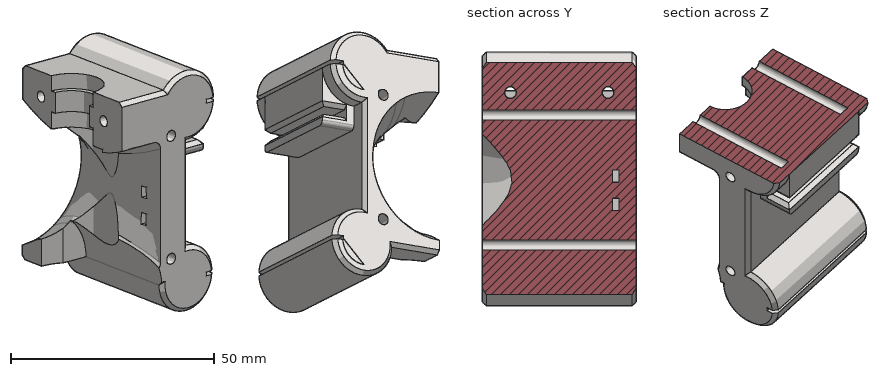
import math

import cadquery as cq

WIDTH = 38.0
END_CHAMFER = 1.05

BARREL_Y = 21.5
BARREL_Z = 22.5
UPPER_BARREL_R = 9.0
LOWER_BARREL_R = 8.5
BEARING_R = 6.0
BARREL_SLOT = 1.0
SLOT_OVERLAP = 0.2
MARK_DEPTH = 0.1

BODY_TOP_Z = 28.0
BODY_BOTTOM_Z = -BARREL_Z
BODY_BACK_Y = BARREL_Y
UPPER_FRONT_Y = 0.2
FRONT_EXCESS = 2 * END_CHAMFER

INLET_R = 19.0
CORNER_START = 50.0
CORNER_END = 59.0
THROAT_X = 0.7
THROAT_Z = -0.35
THROAT_BACK = 11.66
THROAT_TOP = 12.8
THROAT_CORNER_R = 12.8
OUTLET_Z = -1.45
OUTLET_BACK = 12.6
OUTLET_TOP = 16.9
OUTLET_CORNER_R = 2.1
STRAIGHT_TOLERANCE = 1e-6

COLLAR_R = 8.0
GROOVE_R = 6.5
GROOVE_TOP_Z = 24.05
GROOVE_BOTTOM_Z = 18.6
HEATSINK_R = 11.5
HEATSINK_TOP_Z = 14.0

OPENING_LEFT_X = -10.0
OPENING_TOP_Z = -11.95
OPENING_ARC_R = 14.0
OPENING_BACK_Y = BARREL_Y - LOWER_BARREL_R

SCREW_D = 2.8
SIDE_HOLE_Y = 16.0
SIDE_HOLE_Z = 16.0
FRONT_HOLE_X = 12.0
FRONT_HOLE_Z = 21.5

POCKET_X = 13.9
POCKET_WIDTH = 1.5
POCKET_HEIGHT = 2.95
POCKET_CENTRES_Z = (0.95, -6.0)
POCKET_END_Y = 17.0

CLIP_WIDTH = 28.2
CLIP_BACK_Y = BARREL_Y + UPPER_BARREL_R
CLIP_ROOT = 1.0
CLIP_BOTTOM_Z = 7.45
CLIP_EDGE_R = 1.2
BELT_SLOT_TOP_Z = 12.5
BELT_SLOT_BOTTOM_Z = 10.5
BELT_SLOT_FLOOR_Y = 23.6
BELT_LEAD_IN = 1.05


def box(x0, x1, y0, y1, z0, z1):
    """Axis-aligned box between two opposite corners."""
    return cq.Workplane("XY").box(x1 - x0, y1 - y0, z1 - z0, centered=False).translate((x0, y0, z0))


def yz_plane(x):
    """Sketch plane at x, with local axes Y and Z."""
    return cq.Workplane("YZ", origin=(x, 0, 0))


def make_body():
    """Block and barrels as one profile, chamfered round both ends except at the front."""
    lower_y = BARREL_Y - LOWER_BARREL_R
    rise = BODY_TOP_Z - BARREL_Z
    upper_y = BARREL_Y - math.sqrt(UPPER_BARREL_R**2 - rise**2)
    half_diagonal = LOWER_BARREL_R * math.sqrt(0.5)
    half = WIDTH / 2
    profile = (
        yz_plane(-half)
        .moveTo(-FRONT_EXCESS, BODY_BOTTOM_Z)
        .lineTo(lower_y, BODY_BOTTOM_Z)
        .threePointArc(
            (BARREL_Y + half_diagonal, -BARREL_Z - half_diagonal),
            (BODY_BACK_Y, -BARREL_Z + LOWER_BARREL_R),
        )
        .lineTo(BODY_BACK_Y, BARREL_Z - UPPER_BARREL_R)
        .threePointArc((BARREL_Y + UPPER_BARREL_R, BARREL_Z), (upper_y, BODY_TOP_Z))
        .lineTo(-FRONT_EXCESS, BODY_TOP_Z)
        .close()
    )
    body = profile.extrude(WIDTH).faces("<X or >X").chamfer(END_CHAMFER)
    body = body.cut(box(-half, half, -FRONT_EXCESS, 0, BODY_BOTTOM_Z, BODY_TOP_Z))
    return body.cut(box(-half, half, 0, UPPER_FRONT_Y, 0, BODY_TOP_Z))


def make_belt_clip():
    """Block under the upper barrel with a belt slot open to the back and both ends."""
    half = CLIP_WIDTH / 2
    clip = box(-half, half, BODY_BACK_Y - CLIP_ROOT, CLIP_BACK_Y, CLIP_BOTTOM_Z, BARREL_Z - BARREL_SLOT / 2)
    clip = clip.edges("|Y and <Z").fillet(CLIP_EDGE_R)
    top, bottom, lead = BELT_SLOT_TOP_Z, BELT_SLOT_BOTTOM_Z, BELT_LEAD_IN
    clip = clip.cut(box(-half, half, BELT_SLOT_FLOOR_Y, CLIP_BACK_Y, bottom, top))
    back_lead = (
        yz_plane(-half)
        .polyline([
            (CLIP_BACK_Y - lead, bottom),
            (CLIP_BACK_Y, bottom - lead),
            (CLIP_BACK_Y, top + lead),
            (CLIP_BACK_Y - lead, top),
        ])
        .close()
        .extrude(CLIP_WIDTH)
    )
    clip = clip.cut(back_lead)
    for side in (-1, 1):
        end_lead = (
            cq.Workplane("XZ", origin=(0, CLIP_BACK_Y, 0))
            .polyline([
                (side * (half - lead), bottom),
                (side * half, bottom - lead),
                (side * half, top + lead),
                (side * (half - lead), top),
            ])
            .close()
            .extrude(CLIP_BACK_Y - BELT_SLOT_FLOOR_Y)
        )
        clip = clip.cut(end_lead)
    return clip


def polar(radius, degrees):
    """Point at an angle measured from the first axis."""
    return radius * math.cos(math.radians(degrees)), radius * math.sin(math.radians(degrees))


def duct_wire(x, centre_z, back, top, corner_start, corner_middle, corner_end):
    """Closed duct outline: four sides joined by four corner arcs, symmetric about its own centre lines."""
    def at(point, y_sign, z_sign):
        return cq.Vector(x, y_sign * point[0], centre_z + z_sign * point[1])

    edges = []
    for y_sign, z_sign in ((1, 1), (-1, -1)):
        back_start = at(corner_start, y_sign, -z_sign)
        back_end = at(corner_start, y_sign, z_sign)
        back_arc = [back_start, at((back, 0), y_sign, z_sign), back_end]
        corner = [at(p, y_sign, z_sign) for p in (corner_start, corner_middle, corner_end)]
        top_start = at(corner_end, y_sign, z_sign)
        top_end = at(corner_end, -y_sign, z_sign)
        top_arc = [top_start, at((0, top), y_sign, z_sign), top_end]
        next_corner = [at(p, -y_sign, z_sign) for p in (corner_end, corner_middle, corner_start)]
        for first, middle, last in (back_arc, corner, top_arc, next_corner):
            straight = (middle - first).cross(last - first).Length < STRAIGHT_TOLERANCE
            if straight:
                edges.append(cq.Edge.makeLine(first, last))
            else:
                edges.append(cq.Edge.makeThreePointArc(first, middle, last))
    return cq.Wire.assembleEdges(edges)


def make_duct():
    """Smooth loft from the round inlet through the throat to the rectangular outlet."""
    corner_angles = (CORNER_START, (CORNER_START + CORNER_END) / 2, CORNER_END)
    inlet = duct_wire(-WIDTH / 2, 0, INLET_R, INLET_R, *[polar(INLET_R, a) for a in corner_angles])
    throat = duct_wire(
        THROAT_X, THROAT_Z, THROAT_BACK, THROAT_TOP, *[polar(THROAT_CORNER_R, a) for a in corner_angles]
    )
    centre_y = OUTLET_BACK - OUTLET_CORNER_R
    centre_z = OUTLET_TOP - OUTLET_CORNER_R
    diagonal = OUTLET_CORNER_R * math.sqrt(0.5)
    outlet = duct_wire(
        WIDTH / 2, OUTLET_Z, OUTLET_BACK, OUTLET_TOP,
        (OUTLET_BACK, centre_z), (centre_y + diagonal, centre_z + diagonal), (centre_y, OUTLET_TOP),
    )
    return cq.Workplane(cq.Solid.makeLoft([inlet, throat, outlet], False))


def z_bore(radius, z0, z1):
    """Vertical cylinder on the Z axis."""
    return cq.Workplane("XY", origin=(0, 0, z0)).circle(radius).extrude(z1 - z0)


def make_hot_end_bore():
    """Collar, groove, collar and heat sink clearance, from the top down."""
    bore = z_bore(COLLAR_R, GROOVE_TOP_Z, BODY_TOP_Z)
    bore = bore.union(z_bore(GROOVE_R, GROOVE_BOTTOM_Z, GROOVE_TOP_Z))
    bore = bore.union(z_bore(COLLAR_R, HEATSINK_TOP_Z, GROOVE_BOTTOM_Z))
    return bore.union(z_bore(HEATSINK_R, BODY_BOTTOM_Z, HEATSINK_TOP_Z))


def make_jaw_opening():
    """Opening right of the remaining jaw, with a concave rear wall meeting the lower barrel."""
    height = OPENING_TOP_Z - BODY_BOTTOM_Z
    centre_y = OPENING_BACK_Y - OPENING_ARC_R
    middle_y, middle_rise = polar(OPENING_ARC_R, math.degrees(math.asin(height / OPENING_ARC_R)) / 2)
    top_y = centre_y + math.sqrt(OPENING_ARC_R**2 - height**2)
    return (
        yz_plane(OPENING_LEFT_X)
        .moveTo(0, BODY_BOTTOM_Z)
        .lineTo(OPENING_BACK_Y, BODY_BOTTOM_Z)
        .threePointArc(
            (centre_y + middle_y, BODY_BOTTOM_Z + middle_rise),
            (top_y, OPENING_TOP_Z),
        )
        .lineTo(0, OPENING_TOP_Z)
        .close()
        .extrude(WIDTH / 2 - OPENING_LEFT_X)
    )


def make_barrel_slot(z):
    """Slit through the rear wall of a barrel."""
    half = WIDTH / 2
    start_y = BARREL_Y + BEARING_R - SLOT_OVERLAP
    return box(-half, half, start_y, CLIP_BACK_Y, z - BARREL_SLOT / 2, z + BARREL_SLOT / 2)


def make_barrel_mark(z):
    """Shallow recess in the -X end, between a quarter of the bearing circle and its chord."""
    diagonal = BEARING_R * math.sqrt(0.5)
    return (
        yz_plane(-WIDTH / 2)
        .moveTo(BARREL_Y + BEARING_R, z)
        .threePointArc((BARREL_Y + diagonal, z - diagonal), (BARREL_Y, z - BEARING_R))
        .close()
        .extrude(MARK_DEPTH)
    )


def make_side_hole(z):
    """Screw hole through the whole width."""
    return yz_plane(-WIDTH / 2).center(SIDE_HOLE_Y, z).circle(SCREW_D / 2).extrude(WIDTH)


def make_front_hole(x):
    """Screw hole from the front into the slit of the upper barrel."""
    depth = BARREL_Y + BEARING_R
    return cq.Workplane("XZ").center(x, FRONT_HOLE_Z).circle(SCREW_D / 2).extrude(-depth)


def make_pocket(z):
    """Blind pocket starting inside the duct."""
    x0 = POCKET_X - POCKET_WIDTH / 2
    z0 = z - POCKET_HEIGHT / 2
    return box(x0, x0 + POCKET_WIDTH, 0, POCKET_END_Y, z0, z0 + POCKET_HEIGHT)


result = make_body().union(make_belt_clip())
result = result.cut(make_duct()).cut(make_jaw_opening()).cut(make_hot_end_bore())
for barrel_z in (-BARREL_Z, BARREL_Z):
    result = result.cut(make_barrel_slot(barrel_z)).cut(make_barrel_mark(barrel_z))
for hole_z in (-SIDE_HOLE_Z, SIDE_HOLE_Z):
    result = result.cut(make_side_hole(hole_z))
for hole_x in (-FRONT_HOLE_X, FRONT_HOLE_X):
    result = result.cut(make_front_hole(hole_x))
for pocket_z in POCKET_CENTRES_Z:
    result = result.cut(make_pocket(pocket_z))